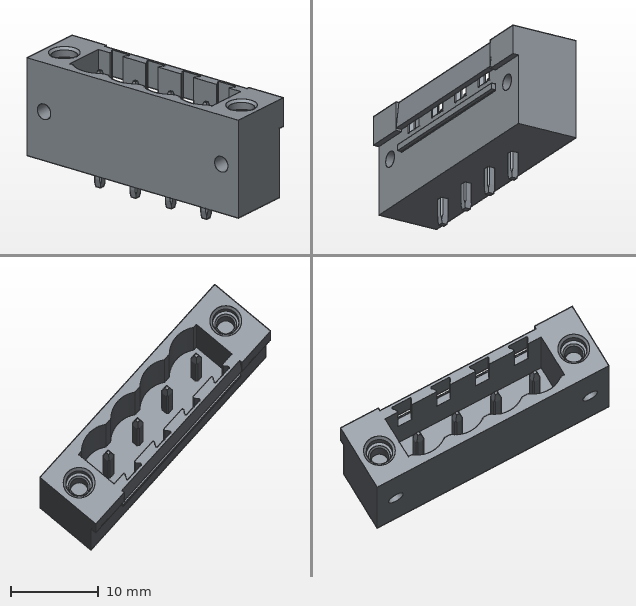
import cadquery as cq

length = 30.32
depth = 8.43
height = 12.07
mid_x = length / 2

lower_depth = 7.7
overhang_height = 3.55
relief_height = 0.27

slope_drop = overhang_height - relief_height
slope_depth = 0.35

cavity_length = 20.4
cavity_front = 1.55
cavity_back = 6.88
cavity_floor = 3.03
scallop_width = 4.25
scallop_depth = 0.75

pin_count = 4
pin_row_length = 15.22
pin_pitch = pin_row_length / (pin_count - 1)
pin_y = 3.8
pin_width = 1.03
pin_corner = 0.18
pin_bottom = -3.12
pin_top = 11.15
pin_top_taper = 1.4
pin_bottom_taper = 1.0
pin_top_width = 0.35
pin_bottom_width = 0.67

keyway_floor = 7.8
keyway_back = 7.73
keyway_neck_width = 1.82
keyway_wide_width = 2.43
keyway_neck_depth = 0.2
keyway_flare_depth = 0.42

fixing_inset = 2.45
access_diameter = 3.0
access_depth = 1.15
countersink = 0.3
insert_diameter = 4.25
insert_height = 2.0
insert_bore = 2.05
insert_chamfer = 0.2
insert_top_depth = 1.5
insert_top = height - insert_top_depth
cross_hole_diameter = 1.9

rib_height = 0.73
rib_depth = 0.55
rib_z = 6.4
rib_root = 0.1

pin_positions = [mid_x + (i - (pin_count - 1) / 2) * pin_pitch for i in range(pin_count)]
fixing_positions = [fixing_inset, length - fixing_inset]


def upright_cylinder(x, diameter, bottom, top):
    """Vertical cylinder on the line of the pins."""
    return cq.Workplane("XY", origin=(x, pin_y, bottom)).circle(diameter / 2).extrude(top - bottom)


def tapered_profile(plane, centre):
    """Slab covering the width of a pin, with the outline of a pin tapered at both ends."""
    half, top_half, bottom_half = pin_width / 2, pin_top_width / 2, pin_bottom_width / 2
    right_side = [
        (bottom_half, pin_bottom),
        (half, pin_bottom + pin_bottom_taper),
        (half, pin_top - pin_top_taper),
        (top_half, pin_top),
    ]
    left_side = [(-u, z) for u, z in reversed(right_side)]
    return (
        cq.Workplane(plane, origin=centre)
        .polyline(right_side + left_side)
        .close()
        .extrude(pin_width, both=True)
    )


def pin_bar(x):
    """Square bar with bevelled corners, as long as a pin."""
    return (
        cq.Workplane("XY", origin=(x, pin_y, pin_bottom))
        .rect(pin_width, pin_width)
        .extrude(pin_top - pin_bottom)
        .edges("|Z")
        .chamfer(pin_corner)
    )


def make_pin(x):
    centre = (x, pin_y, 0)
    return pin_bar(x).intersect(tapered_profile("XZ", centre)).intersect(tapered_profile("YZ", centre))


def make_insert(x):
    """Round insert with a bore chamfered at its top."""
    insert = upright_cylinder(x, insert_diameter, insert_top - insert_height, insert_top)
    insert = insert.cut(upright_cylinder(x, insert_bore, insert_top - insert_height, insert_top))
    bore_rim = insert.faces(">Z").edges(cq.selectors.RadiusNthSelector(0))
    return bore_rim.chamfer(insert_chamfer)


def housing_block():
    """Stepped side outline along the whole length."""
    step_z = height - overhang_height
    outline = [
        (0, 0),
        (lower_depth, 0),
        (lower_depth, step_z),
        (depth, step_z),
        (depth, height),
        (0, height),
    ]
    return cq.Workplane("YZ").polyline(outline).close().extrude(length)


def back_slope():
    """Wedge that leaves the back of the overhang sloped along the cavity."""
    outline = [(depth, height), (depth - slope_depth, height), (depth, height - slope_drop)]
    start = (mid_x - cavity_length / 2, 0, 0)
    return cq.Workplane("YZ", origin=start).polyline(outline).close().extrude(cavity_length)


def cavity():
    """Rectangular cavity with one scallop in the front wall for each pin."""
    left, right = mid_x - cavity_length / 2, mid_x + cavity_length / 2
    floor = cq.Workplane("XY", origin=(0, 0, cavity_floor))
    outline = floor.moveTo(left, cavity_back).lineTo(left, cavity_front)
    for x in pin_positions:
        outline = outline.lineTo(x - scallop_width / 2, cavity_front).threePointArc(
            (x, cavity_front - scallop_depth), (x + scallop_width / 2, cavity_front)
        )
    outline = outline.lineTo(right, cavity_front).lineTo(right, cavity_back).close()
    return outline.extrude(height - cavity_floor)


def keyway(x):
    """Dovetail slot, wider at the back, opening under the overhang."""
    neck, wide = keyway_neck_width / 2, keyway_wide_width / 2
    neck_end = cavity_back + keyway_neck_depth
    right_side = [
        (neck, cavity_back),
        (neck, neck_end),
        (wide, neck_end + keyway_flare_depth),
        (wide, keyway_back),
    ]
    left_side = [(-u, y) for u, y in reversed(right_side)]
    return (
        cq.Workplane("XY", origin=(x, 0, keyway_floor))
        .polyline(right_side + left_side)
        .close()
        .extrude(height - keyway_floor)
    )


def fixing_cut(x):
    """Countersunk access hole, pocket for the insert, and a cross hole from front to back."""
    access_floor = height - access_depth
    access = upright_cylinder(x, access_diameter, access_floor, height)
    sink = cq.Workplane(
        cq.Solid.makeCone(
            access_diameter / 2,
            access_diameter / 2 + countersink,
            countersink,
            pnt=cq.Vector(x, pin_y, height - countersink),
        )
    )
    pocket = upright_cylinder(x, insert_diameter, insert_top - insert_height, access_floor)
    cross_hole = (
        cq.Workplane("XZ", origin=(x, 0, height / 2)).circle(cross_hole_diameter / 2).extrude(-depth)
    )
    return access.union(sink).union(pocket).union(cross_hole)


def underside_relief():
    """Raises the underside of the overhang along the cavity."""
    overhang = depth - lower_depth
    return (
        cq.Workplane("XY", origin=(mid_x, lower_depth + overhang / 2, height - overhang_height))
        .rect(cavity_length, overhang)
        .extrude(relief_height)
    )


def back_rib():
    """Rib with a flared root."""
    half = rib_height / 2
    upper_side = [
        (lower_depth, half + rib_root),
        (lower_depth + rib_root, half),
        (lower_depth + rib_depth, half),
    ]
    lower_side = [(y, -z) for y, z in reversed(upper_side)]
    return (
        cq.Workplane("YZ", origin=(mid_x, 0, rib_z))
        .polyline(upper_side + lower_side)
        .close()
        .extrude(cavity_length / 2, both=True)
    )


def make_housing():
    housing = housing_block().cut(back_slope()).cut(underside_relief()).cut(cavity()).union(back_rib())
    for x in pin_positions:
        housing = housing.cut(keyway(x)).cut(pin_bar(x))
    for x in fixing_positions:
        housing = housing.cut(fixing_cut(x))
    return housing


housing = make_housing()
pins = [make_pin(x) for x in pin_positions]
inserts = [make_insert(x) for x in fixing_positions]

result = cq.Compound.makeCompound(
    [housing.val(), *[pin.val() for pin in pins], *[insert.val() for insert in inserts]]
)